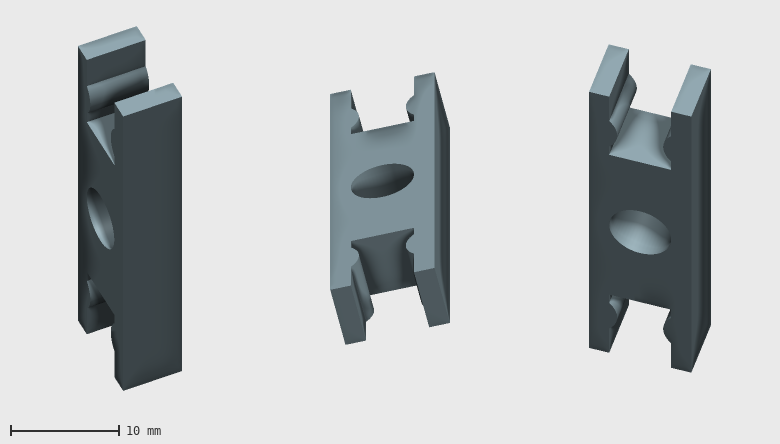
import cadquery as cq

width = 9.9
depth = 6.0
height = 36.77

slot_width = 6.0
slot_depth = 8.35
hole_diameter = slot_width

bump_chord = 3.65
bump_rise = 0.77
bump_from_end = 5.35


def slot_cutter():
    """Slot at the +Z end, narrowed by one rounded bump on each wall."""
    wall = slot_width / 2
    top = height / 2
    floor = top - slot_depth
    bump_z = top - bump_from_end
    bump_low = bump_z - bump_chord / 2
    bump_high = bump_z + bump_chord / 2
    crest = wall - bump_rise
    return (
        cq.Workplane("XZ")
        .moveTo(-wall, floor)
        .lineTo(wall, floor)
        .lineTo(wall, bump_low)
        .threePointArc((crest, bump_z), (wall, bump_high))
        .lineTo(wall, top)
        .lineTo(-wall, top)
        .lineTo(-wall, bump_high)
        .threePointArc((-crest, bump_z), (-wall, bump_low))
        .close()
        .extrude(depth / 2, both=True)
    )


block = cq.Workplane("XY").box(width, depth, height)
block = block.faces("<Y").workplane().hole(hole_diameter)

upper_slot = slot_cutter()
lower_slot = upper_slot.mirror("XY")
result = block.cut(upper_slot).cut(lower_slot)